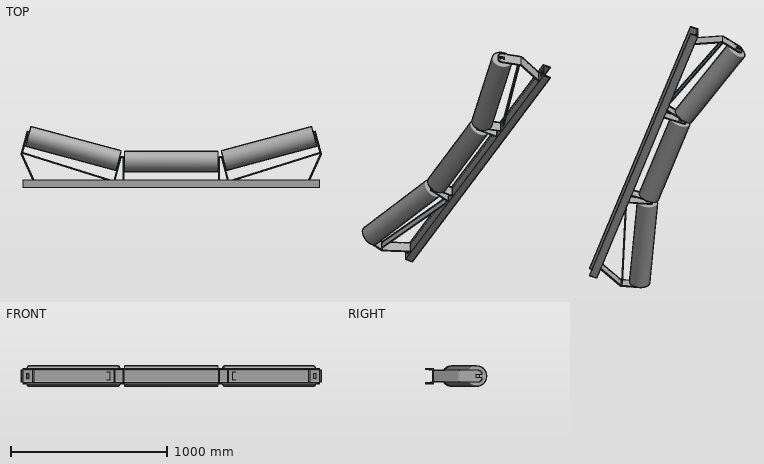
import cadquery as cq
import math


BEAM_LENGTH = 1900.0
BEAM_HEIGHT = 100.0
BEAM_DEPTH = 50.0
WEB_THICKNESS = 5.0
FLANGE_TIP = 8.0
FLANGE_ROOT = 12.0
BEAM_FILLET = 5.0
BOLT_SLOT_X = 918.0
BOLT_SLOT_WIDTH = 17.0
BOLT_SLOT_HEIGHT = 30.0

ROLLER_DIAMETER = 133.0
ROLLER_LENGTH = 600.0
ROLLER_EDGE_FILLET = 5.0
CENTRE_AXIS_Y = 117.0
TROUGH_ANGLE = 15.0
SIDE_ROLLER_X = 336.0
SIDE_ROLLER_Y = 123.0
TONGUE_WIDTH = 17.0
TONGUE_DEPTH = 23.0

STRAP_WIDTH = 75.0
STRAP_CORNER = 25.0
INNER_GAP = 4.0
OUTER_GAP = 8.0
INNER_THICKNESS = 5.0
INNER_TOP_Y = 148.0
INNER_FOLD_RADIUS = 5.0
OUTER_THICKNESS = 8.0
HALF_WIDTH = 960.0
OUTER_BEND_RADIUS = 17.0
OUTER_LEG_ANGLE = 24.5
OUTER_TOP_Y = 311.0
BRACE_THICKNESS = 5.0
BRACE_WIDTH = 50.0
BRACE_FOOT_X = 411.0
BRACE_TOP_X = 950.0
BRACE_TOP_Y = 170.0
SLOT_REACH = 29.0
SLOT_HEIGHT = 154.0
OVERRUN = 38.0

ANGLE = math.radians(TROUGH_ANGLE)
AXIS = (math.cos(ANGLE), math.sin(ANGLE))
UPRIGHT = (-AXIS[1], AXIS[0])
INNER_TONGUE = INNER_GAP + INNER_THICKNESS
OUTER_TONGUE = OUTER_GAP + OUTER_THICKNESS


def along(start, direction, distance):
    return (start[0] + distance * direction[0], start[1] + distance * direction[1])


INNER_END = (SIDE_ROLLER_X, SIDE_ROLLER_Y)
SIDE_CENTRE = along(INNER_END, AXIS, ROLLER_LENGTH / 2)
OUTER_END = along(INNER_END, AXIS, ROLLER_LENGTH)


def left_offset(path, distance):
    """Path moved sideways to its left by a distance, with mitred corners."""
    normals = []
    for (x0, y0), (x1, y1) in zip(path, path[1:]):
        length = math.hypot(x1 - x0, y1 - y0)
        normals.append(((y0 - y1) / length, (x1 - x0) / length))
    moved = []
    for i, point in enumerate(path):
        before = normals[max(i - 1, 0)]
        after = normals[min(i, len(normals) - 1)]
        scale = distance / (1 + before[0] * after[0] + before[1] * after[1])
        moved.append(along(point, (before[0] + after[0], before[1] + after[1]), scale))
    return moved


def strap(path, thickness, width):
    """Flat bar whose right-hand face follows the path, trimmed at the mounting face."""
    outline = path + left_offset(path, thickness)[::-1]
    bar = cq.Workplane("XY").polyline(outline).close().extrude(width / 2, both=True)
    below = cq.Workplane("XY").box(2 * BEAM_LENGTH, 2 * BEAM_LENGTH, 2 * width)
    return bar.cut(below.translate((0, -BEAM_LENGTH, 0)))


def make_beam():
    """Channel along X, open towards -Y, with tapered flanges and two bolt slots."""
    half_height = BEAM_HEIGHT / 2
    tip_z = half_height - FLANGE_TIP
    root_z = half_height - FLANGE_ROOT
    beam = (
        cq.Workplane("YZ", origin=(-BEAM_LENGTH / 2, 0, 0))
        .polyline([
            (0, -half_height),
            (0, half_height),
            (-BEAM_DEPTH, half_height),
            (-BEAM_DEPTH, tip_z),
            (-WEB_THICKNESS, root_z),
            (-WEB_THICKNESS, -root_z),
            (-BEAM_DEPTH, -tip_z),
            (-BEAM_DEPTH, -half_height),
        ])
        .close()
        .extrude(BEAM_LENGTH)
    )
    for corner_z in (root_z, -root_z):
        root_corner = cq.NearestToPointSelector((0, -WEB_THICKNESS, corner_z))
        beam = beam.edges(root_corner).fillet(BEAM_FILLET)
    slots = (
        cq.Workplane("XZ")
        .pushPoints([(-BOLT_SLOT_X, 0), (BOLT_SLOT_X, 0)])
        .rect(BOLT_SLOT_WIDTH, BOLT_SLOT_HEIGHT)
        .extrude(BEAM_DEPTH)
    )
    return beam.cut(slots)


def make_roller(inner_tongue, outer_tongue):
    """Roller along X, centred on the origin, with a flat shaft tongue at each end."""
    drum = (
        cq.Workplane("YZ", origin=(-ROLLER_LENGTH / 2, 0, 0))
        .circle(ROLLER_DIAMETER / 2)
        .extrude(ROLLER_LENGTH)
        .faces("<X or >X").edges().fillet(ROLLER_EDGE_FILLET)
    )
    length = ROLLER_LENGTH + inner_tongue + outer_tongue
    shaft = cq.Workplane("XY").box(length, TONGUE_DEPTH, TONGUE_WIDTH)
    return drum.union(shaft.translate(((outer_tongue - inner_tongue) / 2, 0, 0)))


def make_tongue_slot():
    """Cutter along X: a tongue-wide slot, open towards +Y, that a shaft drops into."""
    length = ROLLER_LENGTH + 2 * SLOT_REACH
    slot = cq.Workplane("XY").box(length, SLOT_HEIGHT, TONGUE_WIDTH)
    return slot.translate((0, (SLOT_HEIGHT - TONGUE_DEPTH) / 2, 0))


def place_at_centre(body):
    return body.translate((0, CENTRE_AXIS_Y, 0))


def place_at_side(body):
    """Tilt a body that lies along X onto the right-hand side roller's axis."""
    tilted = body.rotate((0, 0, 0), (0, 0, 1), TROUGH_ANGLE)
    return tilted.translate((SIDE_CENTRE[0], SIDE_CENTRE[1], 0))


def make_inner_bracket():
    """Folded strap between the centre roller and the right-hand side roller."""
    near_x = ROLLER_LENGTH / 2 + INNER_GAP
    face = along(INNER_END, AXIS, -INNER_GAP)
    top = along(face, UPRIGHT, (INNER_TOP_Y - face[1]) / UPRIGHT[1])
    foot = along(face, UPRIGHT, -(face[1] + OVERRUN) / UPRIGHT[1])
    path = [foot, top, (near_x, INNER_TOP_Y), (near_x, -OVERRUN)]
    bracket = strap(path, INNER_THICKNESS, STRAP_WIDTH)
    bracket = bracket.edges("|Z and >Y").fillet(INNER_FOLD_RADIUS)
    slot = make_tongue_slot()
    return bracket.cut(place_at_centre(slot)).cut(place_at_side(slot))


def make_outer_bracket():
    """Bent strap that carries the outer end of the right-hand side roller."""
    leg_angle = math.radians(OUTER_LEG_ANGLE)
    leg = (-math.sin(leg_angle), -math.cos(leg_angle))
    face = along(OUTER_END, AXIS, OUTER_GAP + OUTER_THICKNESS - OUTER_BEND_RADIUS)
    centre_x = HALF_WIDTH - OUTER_BEND_RADIUS
    centre_y = face[1] + (face[0] - centre_x) * AXIS[0] / AXIS[1]
    middle = (ANGLE - leg_angle) / 2
    reach = OUTER_BEND_RADIUS / math.cos((ANGLE + leg_angle) / 2)
    corner = along((centre_x, centre_y), (math.cos(middle), math.sin(middle)), reach)
    foot = along(corner, leg, -(corner[1] + OVERRUN) / leg[1])
    top = along(corner, UPRIGHT, (OUTER_TOP_Y - corner[1]) / UPRIGHT[1])
    bracket = strap([foot, corner, top], OUTER_THICKNESS, STRAP_WIDTH)
    bracket = bracket.edges("|Z and >X").fillet(OUTER_BEND_RADIUS)
    bracket = bracket.faces(">Y").edges("<Z or >Z").fillet(STRAP_CORNER)
    return bracket.cut(place_at_side(make_tongue_slot()))


def make_brace(outer_bracket):
    """Slanted flat bar from the beam to the bend of the right-hand outer bracket."""
    run = (BRACE_TOP_X - BRACE_FOOT_X, BRACE_TOP_Y)
    foot = along((BRACE_FOOT_X, 0), run, -OVERRUN / BRACE_TOP_Y)
    bar = strap([foot, (BRACE_TOP_X, BRACE_TOP_Y)], BRACE_THICKNESS, BRACE_WIDTH)
    return bar.cut(outer_bracket)


beam = make_beam()
centre_roller = place_at_centre(make_roller(INNER_TONGUE, INNER_TONGUE))
side_roller = place_at_side(make_roller(INNER_TONGUE, OUTER_TONGUE))
inner_bracket = make_inner_bracket()
outer_bracket = make_outer_bracket()
brace = make_brace(outer_bracket)

bodies = [beam.val(), centre_roller.val()]
for right_hand_body in (side_roller, inner_bracket, outer_bracket, brace):
    bodies.append(right_hand_body.val())
    bodies.append(right_hand_body.mirror("YZ").val())

result = cq.Compound.makeCompound(bodies)